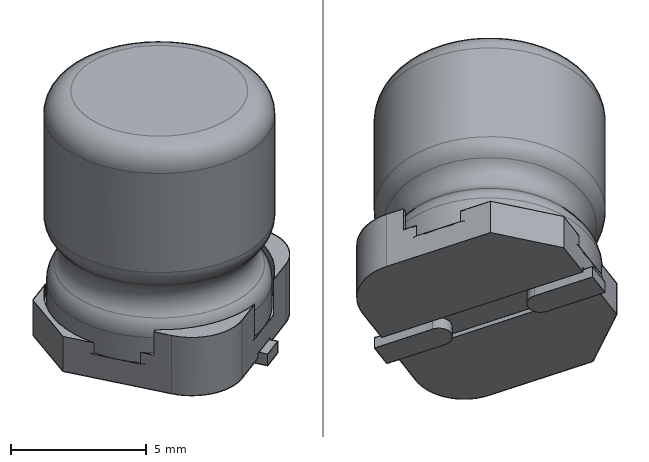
import cadquery as cq
import math

can_radius = 8.5 / 2
can_foot_radius = 8.3 / 2
overall_height = 10.5
top_round = 1.0
neck_radius = 3.6
groove_round = 1.0
groove_z = 3.775

base_size = 8.3
base_bottom = 0.3
base_low_top = 1.8
base_high_top = 2.8
high_wall_start = 1.45
corner_chamfer = 2.0
corner_round = 2.0
seat_radius = 8.5 / 2
seat_floor = 1.3

lead_span = 9.0
lead_width = 1.0
lead_thickness = 0.5
lead_inner_end = 1.6
lead_clearance = 0.1


def make_base_block(top):
    """Base plan shape raised from the underside to the given height."""
    block = cq.Workplane("XY", origin=(0, 0, base_bottom)).rect(base_size, base_size)
    block = block.extrude(top - base_bottom)
    block = block.edges("|Z and <X").chamfer(corner_chamfer)
    return block.edges("|Z and >X").fillet(corner_round)


def make_base():
    low_side = cq.Workplane("XY").box(
        base_size, base_size, base_high_top, centered=(True, True, False)
    )
    low_side = low_side.translate((high_wall_start - base_size / 2, 0, 0))
    high_wall = make_base_block(base_high_top).cut(low_side)
    seat = cq.Workplane("XY", origin=(0, 0, seat_floor)).circle(seat_radius)
    seat = seat.extrude(base_high_top - seat_floor)
    return make_base_block(base_low_top).union(high_wall).cut(seat)


def make_can():
    """Revolve the can outline; the groove and its shoulders are tangent arcs."""
    groove_center_r = neck_radius + groove_round

    def shoulder(radius, side):
        """Return the start height, arc midpoint and groove tangent point of a shoulder."""
        center_r = radius - groove_round
        offset_r = groove_center_r - center_r
        offset_z = math.sqrt((2 * groove_round) ** 2 - offset_r**2)
        center_z = groove_z + side * offset_z
        half_angle = math.atan2(offset_z, offset_r) / 2
        middle = (
            center_r + groove_round * math.cos(half_angle),
            center_z - side * groove_round * math.sin(half_angle),
        )
        tangent = (center_r + offset_r / 2, groove_z + side * offset_z / 2)
        return center_z, middle, tangent

    foot_top, lower_middle, lower_tangent = shoulder(can_foot_radius, -1)
    barrel_bottom, upper_middle, upper_tangent = shoulder(can_radius, 1)
    outline = (
        cq.Workplane("XZ")
        .moveTo(0, seat_floor)
        .lineTo(can_foot_radius, seat_floor)
        .lineTo(can_foot_radius, foot_top)
        .threePointArc(lower_middle, lower_tangent)
        .threePointArc((neck_radius, groove_z), upper_tangent)
        .threePointArc(upper_middle, (can_radius, barrel_bottom))
        .lineTo(can_radius, overall_height)
        .lineTo(0, overall_height)
        .close()
    )
    can = outline.revolve(360, (0, 0, 0), (0, 1, 0))
    return can.faces(">Z").edges().fillet(top_round)


def make_lead_channel():
    """Channel through the underside of the base, wider than the leads it holds."""
    return cq.Workplane("XY").box(
        base_size,
        lead_width + 2 * lead_clearance,
        lead_thickness,
        centered=(True, True, False),
    )


def make_lead(side):
    """Strip running out to one X side, with a half-round inner end."""
    end_center = lead_inner_end + lead_width / 2
    length = lead_span / 2 - end_center
    bar = cq.Workplane("XY").center(side * (end_center + length / 2), 0)
    bar = bar.rect(length, lead_width).extrude(lead_thickness)
    tip = cq.Workplane("XY").center(side * end_center, 0)
    tip = tip.circle(lead_width / 2).extrude(lead_thickness)
    return bar.union(tip)


result = make_base().cut(make_lead_channel()).union(make_can())
for side in (-1, 1):
    result = result.union(make_lead(side))